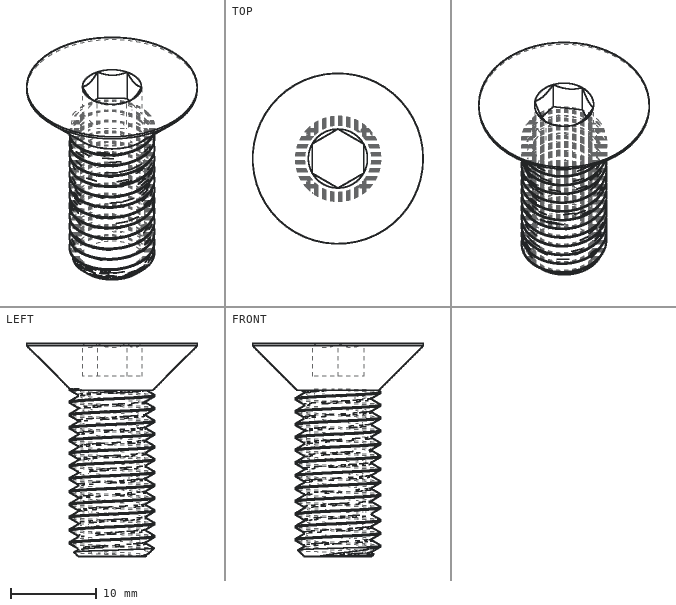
import cadquery as cq
import math

total_height = 25.0
head_radius = 10.0
head_height = 5.5
rim_height = 0.3

thread_radius = 5.0
root_radius = 4.02
pitch = 1.5
crest_width = 0.18
root_width = 0.2
crest_height_at_x = 1.25
tip_radius = 3.92
flank_samples = 12

socket_flats = 6.0
socket_depth = 3.8

shank_overlap = 1.0
envelope_clearance = 0.25

head_base = total_height - head_height
cone_height = head_height - rim_height
head_base_radius = head_radius - cone_height


def make_head():
    outline = [
        (0, head_base),
        (head_base_radius, head_base),
        (head_radius, total_height - rim_height),
        (head_radius, total_height),
        (0, total_height),
    ]
    return cq.Workplane("XZ").polyline(outline).close().revolve(360, (0, 0), (0, 1))


def polar_point(radius, angle):
    return (radius * math.cos(math.radians(angle)), radius * math.sin(math.radians(angle)))


def make_threaded_rod():
    """Right-hand thread, made by twisting its cross-section from the tip up into the head."""
    length = head_base + shank_overlap
    crest_angle = 360 * (1 - crest_height_at_x / pitch)
    crest_half = 180 * crest_width / pitch
    root_half = 180 * root_width / pitch
    root_angle = crest_angle + 180
    flank_start = crest_angle + crest_half
    flank_sweep = 180 - crest_half - root_half

    def falling_flank(t):
        radius = thread_radius + t * (root_radius - thread_radius)
        return polar_point(radius, flank_start + t * flank_sweep)

    def rising_flank(t):
        radius = root_radius + t * (thread_radius - root_radius)
        return polar_point(radius, root_angle + root_half + t * flank_sweep)

    section = (
        cq.Workplane("XY")
        .moveTo(*polar_point(thread_radius, crest_angle - crest_half))
        .threePointArc(polar_point(thread_radius, crest_angle), falling_flank(0))
        .parametricCurve(falling_flank, N=flank_samples, start=0, stop=1, makeWire=False)
        .threePointArc(polar_point(root_radius, root_angle), rising_flank(0))
        .parametricCurve(rising_flank, N=flank_samples, start=0, stop=1, makeWire=False)
        .wire()
    )
    return section.twistExtrude(length, 360 * length / pitch)


def make_tip_envelope():
    """Cylinder with a 45 degree chamfer that trims the thread at the tip."""
    return (
        cq.Workplane("XY")
        .circle(thread_radius + envelope_clearance)
        .extrude(head_base + 2 * shank_overlap)
        .faces("<Z")
        .chamfer(thread_radius + envelope_clearance - tip_radius)
    )


def make_socket():
    """Hexagon with corners on +Y and -Y and a 45 degree lead-in out to its corners."""
    corner_radius = socket_flats / math.sqrt(3)
    hexagon = (
        cq.Workplane("XY", origin=(0, 0, total_height - socket_depth))
        .transformed(rotate=(0, 0, 90))
        .polygon(6, 2 * corner_radius)
        .extrude(socket_depth)
    )
    lead_in = cq.Workplane(obj=cq.Solid.makeCone(
        0, corner_radius, corner_radius, pnt=cq.Vector(0, 0, total_height - corner_radius)
    ))
    return hexagon.union(lead_in)


threaded_shank = make_threaded_rod().intersect(make_tip_envelope())
result = threaded_shank.union(make_head()).cut(make_socket())